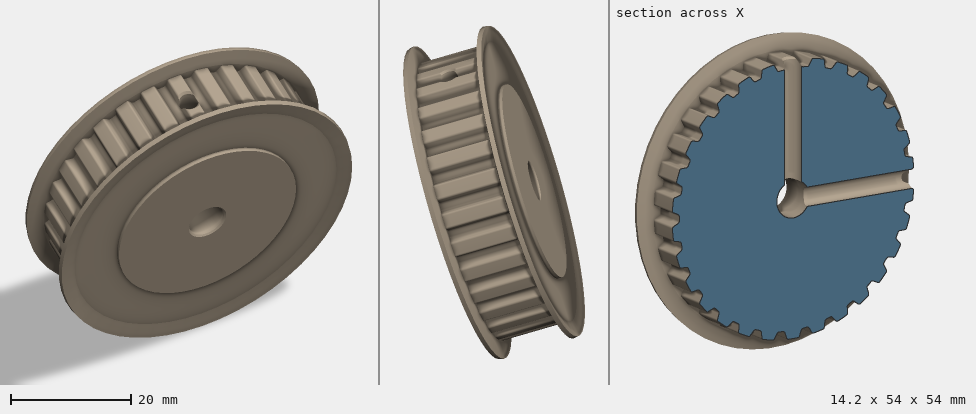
import cadquery as cq
import math

tooth_count = 30
tip_radius = 24.0
groove_depth = 1.4
groove_floor_width = 1.3
groove_half_angle = 25.0
groove_floor_fillet = 0.405
tooth_tip_fillet = 0.4
belt_width = 11.0

flange_thickness = 0.8
flange_radius = 27.0
flare_angle = 11.5
flare_start_radius = 24.2

overall_width = 14.15
left_hub_radius = 16.7
right_hub_radius = 16.35

bore_radius = 3.2
bore_chamfer = 0.25
screw_hole_radius = 1.6
screw_chamfer = 0.4

clearance = 0.55


def x_cylinder(radius, start, end):
    """Cylinder along X between two X positions."""
    return cq.Workplane("YZ").workplane(offset=start).circle(radius).extrude(end - start)


def groove_cutter():
    """One groove at the top of the wheel, with a flat floor and rounded floor corners."""
    floor_radius = tip_radius - groove_depth
    floor_half = groove_floor_width / 2
    mouth_radius = tip_radius + clearance
    mouth_half = floor_half + (mouth_radius - floor_radius) * math.tan(math.radians(groove_half_angle))
    outline = [
        (-floor_half, floor_radius),
        (floor_half, floor_radius),
        (mouth_half, mouth_radius),
        (-mouth_half, mouth_radius),
    ]
    cutter = cq.Workplane("YZ").polyline(outline).close().extrude(belt_width / 2, both=True)
    return cutter.edges("|X and <Z").fillet(groove_floor_fillet)


def toothed_wheel():
    """Wheel between the flanges, with rounded tooth tips."""
    wheel = x_cylinder(tip_radius, -belt_width / 2, belt_width / 2)
    groove = groove_cutter()
    pitch_angle = 360.0 / tooth_count
    for index in range(tooth_count):
        angle = (index + 0.5) * pitch_angle
        wheel = wheel.cut(groove.rotate((0, 0, 0), (1, 0, 0), angle))

    mid_radius = tip_radius - groove_depth / 2
    tip_edges = []
    for edge in wheel.edges("|X").vals():
        center = edge.Center()
        if math.hypot(center.y, center.z) > mid_radius:
            tip_edges.append(edge)
    return wheel.newObject(tip_edges).fillet(tooth_tip_fillet)


def flange():
    """Flange at the +X end: flat disc, conical rim and rim edge square to the cone."""
    flare = math.radians(flare_angle)
    inner_x = belt_width / 2
    outer_x = inner_x + flange_thickness
    inner_bend_radius = flare_start_radius + flange_thickness * math.tan(flare / 2)
    rim_x = inner_x + (flange_radius - inner_bend_radius) * math.tan(flare)
    outer_rim_x = rim_x + flange_thickness * math.cos(flare)
    outer_rim_radius = flange_radius - flange_thickness * math.sin(flare)
    profile = [
        (inner_x, 0),
        (inner_x, inner_bend_radius),
        (rim_x, flange_radius),
        (outer_rim_x, outer_rim_radius),
        (outer_x, flare_start_radius),
        (outer_x, 0),
    ]
    return cq.Workplane("XY").polyline(profile).close().revolve(360, (0, 0, 0), (1, 0, 0))


def bore_cutter():
    """Through bore with a chamfer at each end."""
    half = overall_width / 2
    mouth_radius = bore_radius + bore_chamfer
    profile = [
        (-half, 0),
        (-half, mouth_radius),
        (-half + bore_chamfer, bore_radius),
        (half - bore_chamfer, bore_radius),
        (half, mouth_radius),
        (half, 0),
    ]
    return cq.Workplane("XY").polyline(profile).close().revolve(360, (0, 0, 0), (1, 0, 0))


def screw_hole_cutter():
    """Set screw hole along +Z from the axis to the tip circle, with a 45 degree countersink."""
    profile = [
        (0, 0),
        (screw_hole_radius, 0),
        (screw_hole_radius, tip_radius - screw_chamfer),
        (screw_hole_radius + screw_chamfer, tip_radius),
        (0, tip_radius),
    ]
    return cq.Workplane("XZ").polyline(profile).close().revolve(360, (0, 0, 0), (0, 1, 0))


right_flange = flange()
left_flange = right_flange.mirror("YZ")
right_hub = x_cylinder(right_hub_radius, 0, overall_width / 2)
left_hub = x_cylinder(left_hub_radius, -overall_width / 2, 0)

pulley = toothed_wheel().union(right_flange).union(left_flange).union(right_hub).union(left_hub)
pulley = pulley.cut(bore_cutter())

top_screw_hole = screw_hole_cutter()
back_screw_hole = top_screw_hole.rotate((0, 0, 0), (1, 0, 0), -90)
result = pulley.cut(top_screw_hole).cut(back_screw_hole)